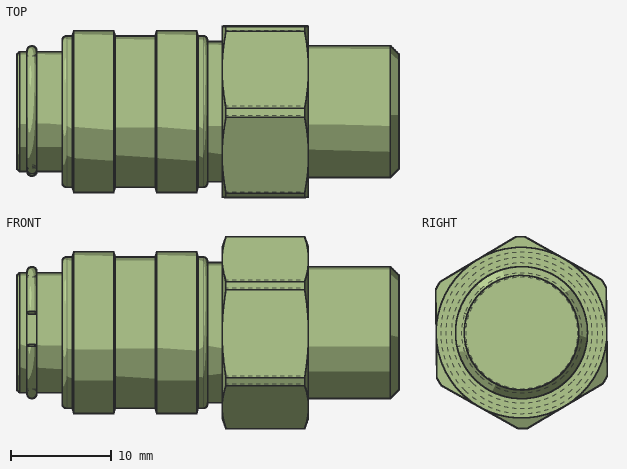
import cadquery as cq

total_length = 38.05
groove_start = 1.0
wire_diameter = 1.0
sleeve_start = 4.5
sleeve_end = 19.0
band_starts = (5.5, 13.78)
band_width = 4.25
hex_start = 20.45
hex_width = 8.6

nose_diameter = 12.0
groove_diameter = 11.15
sleeve_diameter = 15.1
band_diameter = 16.15
neck_diameter = 14.0
shank_diameter = 13.15

nose_chamfer = 0.25
sleeve_fillet = 0.45
band_taper_length = 0.15
shank_chamfer = 0.88

hex_across_flats = 17.0
hex_corner_diameter = 19.15
hex_face_diameter = hex_across_flats
hex_chamfer_length = 0.38
hex_turn_degrees = 0.7

gap_lower_degrees = -12.0
gap_upper_degrees = 19.0

front_x = -total_length / 2


def cylinder(start, length, diameter):
    """Cylinder on the X axis, starting at a distance behind the front face."""
    return cq.Workplane("YZ", origin=(front_x + start, 0, 0)).circle(diameter / 2).extrude(length)


def make_nose():
    nose = cylinder(0, sleeve_start, nose_diameter).faces("<X").chamfer(nose_chamfer)
    groove_core = cylinder(groove_start, wire_diameter, groove_diameter)
    groove_blank = cylinder(groove_start, wire_diameter, nose_diameter)
    return nose.cut(groove_blank.cut(groove_core))


def bevel_both_ends(blank, bevel_length, bevel_height):
    """Bevel both rims of a cylinder; the length runs along X, the height along the radius."""
    bevelled = blank.faces("<X").chamfer(bevel_length, bevel_height)
    return bevelled.faces(">X").chamfer(bevel_length, bevel_height)


def make_band(start):
    """Raised grip band whose flanks slope down to the sleeve."""
    blank = cylinder(start, band_width, band_diameter)
    flank_height = (band_diameter - sleeve_diameter) / 2
    return bevel_both_ends(blank, band_taper_length, flank_height)


def make_sleeve():
    sleeve = cylinder(sleeve_start, sleeve_end - sleeve_start, sleeve_diameter)
    sleeve = sleeve.faces("<X or >X").edges().fillet(sleeve_fillet)
    for start in band_starts:
        sleeve = sleeve.union(make_band(start))
    return sleeve


def make_hexagon():
    """Hexagonal prism with its corners turned to a cylinder that is bevelled at both ends."""
    prism = (
        cq.Workplane("YZ", origin=(front_x + hex_start, 0, 0))
        .polygon(6, hex_across_flats, circumscribed=True)
        .extrude(hex_width)
        .rotate((0, 0, 0), (1, 0, 0), hex_turn_degrees)
    )
    bevel_height = (hex_corner_diameter - hex_face_diameter) / 2
    turned_blank = cylinder(hex_start, hex_width, hex_corner_diameter)
    turned_blank = bevel_both_ends(turned_blank, hex_chamfer_length, bevel_height)
    return prism.intersect(turned_blank)


def make_shank():
    hex_end = hex_start + hex_width
    shank = cylinder(hex_end, total_length - hex_end, shank_diameter)
    return shank.faces(">X").chamfer(shank_chamfer)


def make_coupling():
    neck = cylinder(sleeve_end, hex_start - sleeve_end, neck_diameter)
    return make_nose().union(make_sleeve()).union(neck).union(make_hexagon()).union(make_shank())


def make_snap_ring():
    """Open ring of round wire that rests on the groove floor, with its gap on the -Y side."""
    wire_path_radius = (groove_diameter + wire_diameter) / 2
    wire_x = front_x + groove_start + wire_diameter / 2
    sweep_degrees = 360 - (gap_upper_degrees - gap_lower_degrees)
    ring = (
        cq.Workplane("XY", origin=(wire_x, 0, 0))
        .center(0, -wire_path_radius)
        .circle(wire_diameter / 2)
        .revolve(sweep_degrees, (0, wire_path_radius, 0), (1, wire_path_radius, 0))
    )
    return ring.rotate((0, 0, 0), (1, 0, 0), -gap_lower_degrees)


coupling = make_coupling()
snap_ring = make_snap_ring()
result = cq.Compound.makeCompound([coupling.val(), snap_ring.val()])